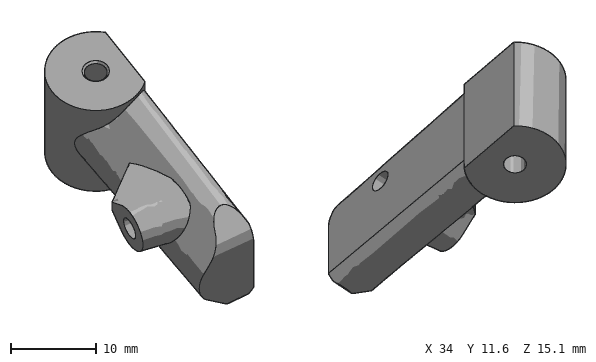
import cadquery as cq
import math

POST_RADIUS = 6.0
POST_HEIGHT = 14.92
POST_FLAT_Y = 4.08
BORE_DIAMETER = 2.7
BORE_MOUTH_DIAMETER = 3.2

ARM_END_X = 27.97
ARM_BACK_END_Y = 4.55
ARM_LOWEST_Z = -0.2
ARM_CREST_Y = 2.38
ARM_SHOULDER_Y = 0.27

BEVEL_START = (24.1, 13.45)
BEVEL_MID = (26.65, 11.9)
BEVEL_ROUND = (27.53, 10.9)
BEVEL_END_Z = 9.18
BEVEL_CLEARANCE = 6.8
TOE_CHAMFER = 0.4

BOSS_X = 18.95
BOSS_Z = 9.93
BOSS_FACE_RADIUS = 3.0
BOSS_FACE_Y = ARM_BACK_END_Y - 11.6
BOSS_ROOT_RADIUS = 3.67
BOSS_ROOT_Z = BOSS_Z + BOSS_FACE_RADIUS - BOSS_ROOT_RADIUS
BOSS_FACE_TIP_X = 15.02
BOSS_ROOT_TIP_X = 9.4
BOSS_FACE_TIP_Z = (9.2, 10.7)
BOSS_ROOT_TIP_Z = (7.55, 11.15)


def make_post():
    """Round post with a flat along its back."""
    post = cq.Workplane("XY").circle(POST_RADIUS).extrude(POST_HEIGHT)
    waste = cq.Workplane("XY").box(
        2 * POST_RADIUS, POST_RADIUS, POST_HEIGHT, centered=(True, False, False)
    )
    return post.cut(waste.translate((0, POST_FLAT_Y, 0)))


def arm_section(x, back_y, back_z, top_z, shoulder_z, upper, nose, lower, heel, bottom_z):
    """Closed D-shaped wire at x; upper, nose, lower and heel are (y, z) points."""
    low_back_z, high_back_z = back_z

    def at(y, z):
        return cq.Vector(x, y, z)

    def arc_by_tangent(start, tangent, end):
        return cq.Edge.makeTangentArc(start, tangent, end)

    crest = at(ARM_CREST_Y, top_z)
    shoulder = at(ARM_SHOULDER_Y, shoulder_z)
    low_crest = at(ARM_CREST_Y, bottom_z)
    high_back = at(back_y, high_back_z)
    low_back = at(back_y, low_back_z)
    backward = cq.Vector(0, 1, 0)
    forward = cq.Vector(0, -1, 0)
    return cq.Wire.assembleEdges([
        cq.Edge.makeLine(low_back, high_back),
        arc_by_tangent(crest, backward, high_back),
        arc_by_tangent(crest, forward, shoulder),
        cq.Edge.makeLine(shoulder, at(*upper)),
        cq.Edge.makeThreePointArc(at(*upper), at(*nose), at(*lower)),
        cq.Edge.makeLine(at(*lower), at(*heel)),
        arc_by_tangent(low_crest, forward, at(*heel)),
        arc_by_tangent(low_crest, backward, low_back),
    ])


def make_arm():
    """Straight-sided loft between the two arm sections, with its end trimmed."""
    root = arm_section(
        x=0, back_y=3.98, back_z=(1.53, 13.1), top_z=14.8, shoulder_z=14.28,
        upper=(-3.0, 12.45), nose=(-5.27, 8.65), lower=(-3.0, 4.8), heel=(0.5, 0.95), bottom_z=0.17,
    )
    tip = arm_section(
        x=ARM_END_X, back_y=ARM_BACK_END_Y, back_z=(1.02, 11.55), top_z=13.25, shoulder_z=12.03,
        upper=(-2.2, 8.0), nose=(-3.0, 5.45), lower=(-2.2, 3.03), heel=(0.5, 0.5),
        bottom_z=ARM_LOWEST_Z,
    )
    arm = cq.Workplane(cq.Solid.makeLoft([root, tip], True))
    beyond = ARM_END_X + BEVEL_CLEARANCE
    above = POST_HEIGHT + BEVEL_CLEARANCE
    slope = (BEVEL_START[1] - BEVEL_MID[1]) / (BEVEL_MID[0] - BEVEL_START[0])
    bevel = (
        cq.Workplane("XZ")
        .moveTo(BEVEL_START[0] - BEVEL_CLEARANCE, BEVEL_START[1] + slope * BEVEL_CLEARANCE)
        .lineTo(*BEVEL_MID)
        .threePointArc(BEVEL_ROUND, (ARM_END_X, BEVEL_END_Z))
        .lineTo(beyond, BEVEL_END_Z)
        .lineTo(beyond, above)
        .lineTo(BEVEL_START[0] - BEVEL_CLEARANCE, above)
        .close()
        .extrude(POST_RADIUS, both=True)
    )
    toe = (
        cq.Workplane("XZ")
        .moveTo(ARM_END_X, ARM_LOWEST_Z)
        .lineTo(ARM_END_X, ARM_LOWEST_Z + TOE_CHAMFER)
        .lineTo(ARM_END_X - TOE_CHAMFER, ARM_LOWEST_Z)
        .close()
        .extrude(POST_RADIUS, both=True)
    )
    return arm.cut(bevel).cut(toe)


def tangent_point(corner, center, radius, side):
    """Point where a line from corner touches the circle; side +1 is above, -1 below."""
    dx = corner[0] - center[0]
    dz = corner[1] - center[1]
    angle = math.atan2(dz, dx) - side * math.acos(radius / math.hypot(dx, dz))
    return (center[0] + radius * math.cos(angle), center[1] + radius * math.sin(angle))


def boss_section(y, center_z, radius, tip_x, tip_z):
    """Teardrop wire with a blunt tip in the plane at y."""
    tip_low_z, tip_high_z = tip_z
    center = (BOSS_X, center_z)
    high = tangent_point((tip_x, tip_high_z), center, radius, 1)
    low = tangent_point((tip_x, tip_low_z), center, radius, -1)
    return (
        cq.Workplane("XZ", origin=(0, y, 0))
        .moveTo(tip_x, tip_low_z)
        .lineTo(tip_x, tip_high_z)
        .lineTo(*high)
        .threePointArc((BOSS_X + radius, center_z), low)
        .close()
        .wire()
        .val()
    )


def make_boss():
    """Teardrop boss that widens from its face to its root inside the arm."""
    root = boss_section(0, BOSS_ROOT_Z, BOSS_ROOT_RADIUS, BOSS_ROOT_TIP_X, BOSS_ROOT_TIP_Z)
    face = boss_section(BOSS_FACE_Y, BOSS_Z, BOSS_FACE_RADIUS, BOSS_FACE_TIP_X, BOSS_FACE_TIP_Z)
    return cq.Workplane(cq.Solid.makeLoft([root, face], True))


def make_post_bore():
    """Vertical through hole with a countersunk upper mouth."""
    bore = cq.Workplane("XY").circle(BORE_DIAMETER / 2).extrude(POST_HEIGHT)
    depth = (BORE_MOUTH_DIAMETER - BORE_DIAMETER) / 2
    mouth = cq.Solid.makeCone(
        BORE_DIAMETER / 2, BORE_MOUTH_DIAMETER / 2, depth, cq.Vector(0, 0, POST_HEIGHT - depth)
    )
    return bore.union(cq.Workplane(mouth))


def make_boss_bore():
    """Hole through the boss and the arm behind it."""
    length = 2 * (ARM_BACK_END_Y - BOSS_FACE_Y)
    return (
        cq.Workplane("XZ")
        .center(BOSS_X, BOSS_Z)
        .circle(BORE_DIAMETER / 2)
        .extrude(length, both=True)
    )


body = make_post().union(make_arm()).union(make_boss())
result = body.cut(make_post_bore()).cut(make_boss_bore())